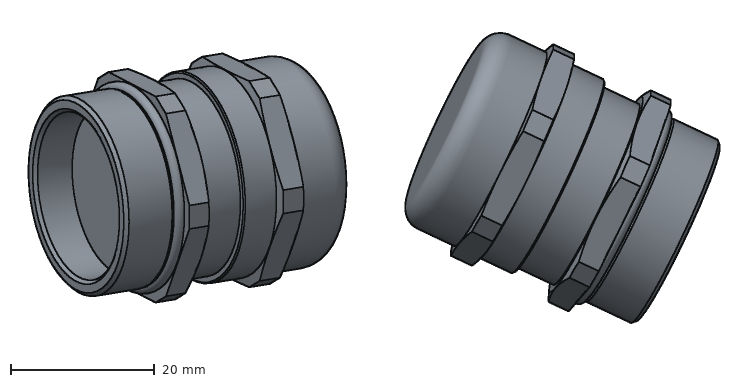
import cadquery as cq
import math

LENGTH = 36.0

THREAD_RADIUS = 14.1
THREAD_END = 7.7
MOUTH_CHAMFER = 0.55
RELIEF_CHAMFER = 0.3

BORE_RADIUS = 11.85
BORE_DEPTH = 6.0
BORE_CHAMFER = 0.5

RING_RADIUS = 14.95
RING_CENTRE = 8.65
RING_SECTION_RADIUS = 0.9

SIDES = 6
HEX_ACROSS_FLATS = 30.0
HEX_ACROSS_CORNERS = 32.65
BODY_HEX_START = 8.93
BODY_HEX_END = 12.6
BODY_HEX_BEVEL = 0.58
CAP_HEX_START = 23.58
CAP_HEX_END = 27.4
CAP_HEX_BEVEL = 0.3

NECK_RADIUS = 13.95
CAP_RADIUS = 14.95
CAP_START = 18.4
CAP_CHAMFER = 0.2
CAP_ROUND = 3.0


def cylinder(radius, start, end):
    """Solid cylinder about the Y axis between two Y positions."""
    return cq.Workplane("XZ", origin=(0, start, 0)).circle(radius).extrude(start - end)


def revolve_profile(points):
    """Solid of revolution about the Y axis from (radius, y) points."""
    return cq.Workplane("XY").polyline(points).close().revolve(360, (0, 0, 0), (0, 1, 0))


def hexagon(start, end, start_bevel, end_bevel):
    """Hexagon, flats up and down, with flattened corners and conical bevels of the given heights."""
    flat_radius = HEX_ACROSS_FLATS / 2
    corner_radius = HEX_ACROSS_CORNERS / 2
    half_side_angle = math.pi / SIDES
    full_corner_radius = flat_radius / math.cos(half_side_angle)
    blank = cq.Workplane("XZ", origin=(0, start, 0))
    flats = blank.polygon(SIDES, 2 * full_corner_radius).extrude(start - end)
    corners = (
        blank.transformed(rotate=(0, 0, math.degrees(half_side_angle)))
        .polygon(SIDES, HEX_ACROSS_CORNERS / math.cos(half_side_angle))
        .extrude(start - end)
    )
    half_corner_width = (full_corner_radius - corner_radius) / math.tan(half_side_angle)
    outer_radius = math.hypot(corner_radius, half_corner_width)
    start_radius = flat_radius if start_bevel else outer_radius
    end_radius = flat_radius if end_bevel else outer_radius
    outline = [(0, start), (start_radius, start)]
    if start_bevel:
        outline.append((outer_radius, start + start_bevel))
    if end_bevel:
        outline.append((outer_radius, end - end_bevel))
    outline += [(end_radius, end), (0, end)]
    return flats.intersect(corners).intersect(revolve_profile(outline))


def sealing_ring():
    """Ring with a half-round outside, partly sunk into the body hexagon."""
    centre_radius = RING_RADIUS - RING_SECTION_RADIUS
    return (
        cq.Workplane("XY")
        .moveTo(centre_radius, RING_CENTRE - RING_SECTION_RADIUS)
        .threePointArc((RING_RADIUS, RING_CENTRE), (centre_radius, RING_CENTRE + RING_SECTION_RADIUS))
        .close()
        .revolve(360, (0, 0, 0), (0, 1, 0))
    )


def bore():
    """Blind bore with a chamfered mouth."""
    return revolve_profile([
        (0, 0),
        (BORE_RADIUS + BORE_CHAMFER, 0),
        (BORE_RADIUS, BORE_CHAMFER),
        (BORE_RADIUS, BORE_DEPTH),
        (0, BORE_DEPTH),
    ])


def entry_thread():
    """Plain thread cylinder, chamfered at the mouth and at the sealing ring."""
    body = cylinder(THREAD_RADIUS, 0, THREAD_END)
    return body.faces("<Y").chamfer(MOUTH_CHAMFER).faces(">Y").chamfer(RELIEF_CHAMFER)


def neck():
    """Core under the sealing ring and the neck between body hexagon and cap."""
    core = cylinder(THREAD_RADIUS - RELIEF_CHAMFER, THREAD_END, BODY_HEX_START)
    return core.union(cylinder(NECK_RADIUS, BODY_HEX_START, CAP_START))


def cap():
    """Round cap with a rounded closed end and a small chamfer on its rim."""
    body = cylinder(CAP_RADIUS, CAP_START, LENGTH)
    return body.faces(">Y").edges().fillet(CAP_ROUND).faces("<Y").chamfer(CAP_CHAMFER)


result = (
    entry_thread()
    .union(neck())
    .union(cap())
    .union(hexagon(BODY_HEX_START, BODY_HEX_END, 0, BODY_HEX_BEVEL))
    .union(hexagon(CAP_HEX_START, CAP_HEX_END, CAP_HEX_BEVEL, CAP_HEX_BEVEL))
    .union(sealing_ring())
    .cut(bore())
)